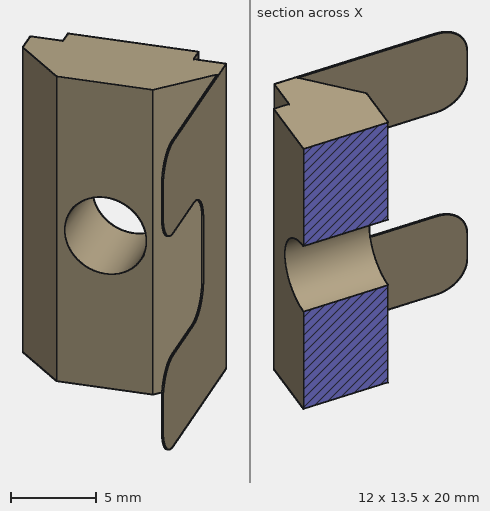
import cadquery as cq

width = 12.0
height = 20.0
depth = 5.5
bevel = 3.0
tongue_width = 8.0
tongue_depth = 1.0
hole_diameter = 5.0

plate_thickness = 0.1
prong_length = 8.0
slot_width = 8.0
corner_radius = 2.0

half_width = width / 2
half_height = height / 2
shoulder_y = depth - tongue_depth


def make_block():
    """Bevelled block with a rear tongue and a through hole; the +X bevel ends at the plate."""
    plate_inner_x = half_width - plate_thickness
    profile = [
        (-half_width + bevel, 0),
        (plate_inner_x - bevel, 0),
        (plate_inner_x, bevel),
        (half_width, bevel),
        (half_width, shoulder_y),
        (tongue_width / 2, shoulder_y),
        (tongue_width / 2, depth),
        (-tongue_width / 2, depth),
        (-tongue_width / 2, shoulder_y),
        (-half_width, shoulder_y),
        (-half_width, bevel),
    ]
    block = cq.Workplane("XY").polyline(profile).close().extrude(half_height, both=True)
    hole = cq.Workplane("XZ").circle(hole_diameter / 2).extrude(-depth)
    return block.cut(hole)


def make_plate():
    """Plate with two rounded prongs reaching forward on either side of a slot."""
    plate_length = shoulder_y + prong_length
    plate = (
        cq.Workplane("XY")
        .box(plate_thickness, plate_length, height, centered=(False, False, True))
        .translate((half_width - plate_thickness, -prong_length, 0))
    )
    slot = (
        cq.Workplane("XY")
        .box(width, prong_length, slot_width, centered=(True, False, True))
        .translate((0, -prong_length, 0))
    )
    forked = plate.cut(slot)
    prong_tips = forked.faces("<Y").edges("|X")
    slot_corners = forked.edges(
        cq.selectors.BoxSelector(
            (0, -corner_radius, -half_height + corner_radius),
            (width, corner_radius, half_height - corner_radius),
        )
    ).edges("|X")
    return forked.newObject(prong_tips.vals() + slot_corners.vals()).fillet(corner_radius)


result = make_block().union(make_plate())